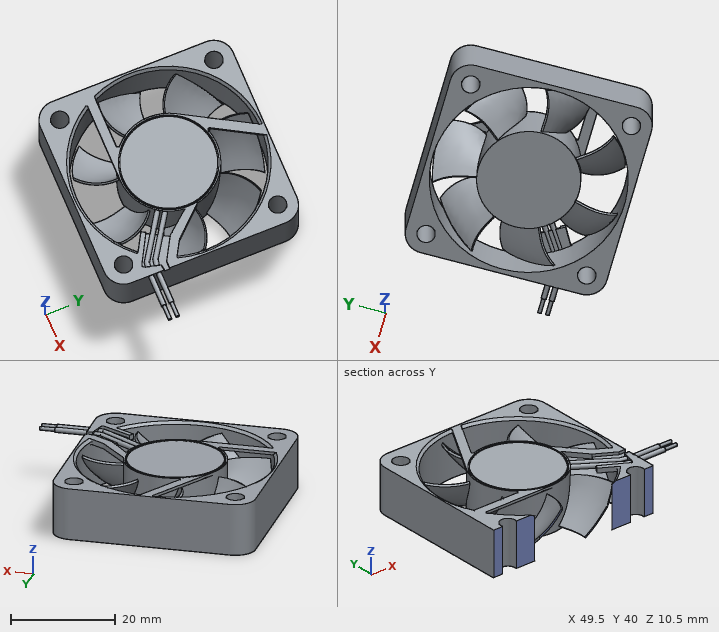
import cadquery as cq
import math

frame_side = 40.0
frame_height = 10.5
overall_length = 49.5
corner_radius = 4.0
mount_hole_offset = 16.0
mount_hole_diameter = 3.5

bore_radius = 19.05
bore_chamfer = 0.55

hub_radius = 10.0
groove_outer_radius = 9.65
groove_width = 0.25
groove_depth = 0.25

spoke_width = 2.0
spoke_thickness = 0.6
spoke_end_radius = 19.8
spoke_angles = (0, -120)
hub_corner_radius = 0.35
rim_corner_radius = 0.25

gate_angle = -30.0
gate_thickness = 1.1
arm_root_x = 7.9
arm_root_top = 3.9
arm_root_bottom = 1.7
arm_bend = (15.35, -4.15)
gate_start_along = 14.75
gate_end_along = 20.8
gate_outer_across = 4.05
gate_inner_across = -3.45
channel_outer_across = 2.25
channel_inner_across = -2.45
channel_depth = 0.65
channel_overrun = 0.5
channel_corner_radius = 0.5
exit_slot_top = -8.05
exit_slot_bottom = -9.15
channel_corner = (17.85, -13.05)
exit_slot_corner = (18.8, -9.3)

blade_count = 7
blade_axis_angle = 192.0
blade_tip_radius = 18.5
blade_offset = 0.35
blade_camber = 0.55
blade_low_z = 0.9

wire_diameter = 1.05
core_diameter = 0.75
wire_pitch = 1.6
wire_bend_pitch = 1.5
wire_mid_y = -11.15
wire_axis_depth = 0.7
core_length = 3.0
wire_angle = -33.3
wire_bend_x = 17.1
wire_bend_mid_y = -10.75
wire_run_length = 10.9
wire_exit_x = 19.55

corner_reach = 0.6
corner_clearance = 0.05

half_side = frame_side / 2
wire_z = frame_height - wire_axis_depth


def turned(point, degrees):
    """Plan point turned about the fan axis."""
    x, y = point
    angle = math.radians(degrees)
    return (x * math.cos(angle) - y * math.sin(angle), x * math.sin(angle) + y * math.cos(angle))


def gate_point(along, across):
    """Plan position of a point given along and across the gate direction."""
    return turned((along, across), gate_angle)


def near(point):
    """Selector for the upright edges around a plan point, near the top face."""
    x, y = point
    lower = (x - corner_reach, y - corner_reach, frame_height - gate_thickness)
    upper = (x + corner_reach, y + corner_reach, frame_height - corner_clearance)
    return cq.selectors.BoxSelector(lower, upper)


def turn_about_axis(body, degrees):
    return body.rotate((0, 0, 0), (0, 0, 1), degrees)


def plate(points, thickness):
    """Flat plate hanging down from the top face of the frame."""
    return cq.Workplane("XY").workplane(offset=frame_height).polyline(points).close().extrude(-thickness)


def cylinder(radius, height):
    return cq.Workplane("XY").circle(radius).extrude(height)


def rod(start, end, diameter):
    """Round bar between two points."""
    axis = cq.Vector(*end) - cq.Vector(*start)
    return cq.Workplane(cq.Solid.makeCylinder(diameter / 2, axis.Length, cq.Vector(*start), axis))


def make_frame():
    """Square frame with rounded corners, a chamfered bore and four mounting holes."""
    frame = cq.Workplane("XY").rect(frame_side, frame_side).extrude(frame_height)
    frame = frame.edges("|Z").fillet(corner_radius)
    frame = frame.cut(cylinder(bore_radius, frame_height))
    frame = frame.faces(">Z").edges(cq.selectors.RadiusNthSelector(-1)).chamfer(bore_chamfer)
    holes = cq.Workplane("XY").rect(2 * mount_hole_offset, 2 * mount_hole_offset, forConstruction=True)
    return frame.cut(holes.vertices().circle(mount_hole_diameter / 2).extrude(frame_height))


def make_spoke(turn):
    """Straight spoke whose outer edge is tangent to the hub."""
    points = [
        (0, -hub_radius),
        (0, spoke_width - hub_radius),
        (-spoke_end_radius, spoke_width - hub_radius),
        (-spoke_end_radius, -hub_radius),
    ]
    spoke = plate(points, spoke_thickness).intersect(cylinder(spoke_end_radius, frame_height))
    return turn_about_axis(spoke, turn)


def make_gate():
    """Bent arm and the broad pad that carries the wires, reaching into the frame."""
    arm = [
        (arm_root_x, arm_root_top),
        arm_bend,
        gate_point(gate_end_along, gate_outer_across),
        gate_point(gate_end_along, gate_inner_across),
        gate_point(gate_start_along, gate_inner_across),
        gate_point(gate_start_along, channel_outer_across),
        (arm_root_x, arm_root_bottom),
    ]
    return plate(arm, gate_thickness).intersect(cylinder(spoke_end_radius, frame_height))


def round_corners(body):
    """Round the sharp window corners where the spokes and the gate meet the hub and the bore."""
    inner_edge_y = spoke_width - hub_radius
    hub_corner = (-math.sqrt(hub_radius**2 - inner_edge_y**2), inner_edge_y)
    rim_corner = (-math.sqrt(bore_radius**2 - hub_radius**2), -hub_radius)
    for angle in spoke_angles:
        body = body.edges(near(turned(hub_corner, angle))).fillet(hub_corner_radius)
        body = body.edges(near(turned(rim_corner, angle))).fillet(rim_corner_radius)
    for across in (gate_outer_across, gate_inner_across):
        along = math.sqrt(bore_radius**2 - across**2)
        body = body.edges(near(gate_point(along, across))).fillet(rim_corner_radius)
    return body


def make_channel():
    """Recess for the wires, with a narrow slot out through the side of the frame."""
    angle = math.radians(gate_angle)
    slot_bend_along = (exit_slot_top - channel_outer_across * math.cos(angle)) / math.sin(angle)
    slot_bend_x = gate_point(slot_bend_along, channel_outer_across)[0]
    points = [
        gate_point(gate_start_along - channel_overrun, channel_outer_across),
        (slot_bend_x, exit_slot_top),
        (half_side, exit_slot_top),
        (half_side, exit_slot_bottom),
        exit_slot_corner,
        channel_corner,
        gate_point(gate_start_along - channel_overrun, channel_inner_across),
    ]
    channel = plate(points, channel_depth)
    return channel.edges(near(channel_corner)).fillet(channel_corner_radius)


def make_groove():
    """Thin ring groove around the cap on top of the hub."""
    top = cq.Workplane("XY").workplane(offset=frame_height)
    ring = top.circle(groove_outer_radius).circle(groove_outer_radius - groove_width)
    return ring.extrude(-groove_depth)


def make_blade():
    """Twisted, cambered blade lofted through curved sections set out along its axis."""
    sections = [
        (8.4, -2.25, 3.0, 9.0),
        (11.9, -2.8, 4.8, 9.1),
        (15.35, -3.95, 5.05, 9.15),
        (18.8, -6.95, 3.95, 9.3),
    ]
    wires = []
    for distance, low_side, high_side, high_z in sections:
        upper_low = cq.Vector(distance, low_side, blade_low_z)
        upper_high = cq.Vector(distance, high_side - blade_offset, high_z)
        upper_mid = (upper_low + upper_high) * 0.5 + cq.Vector(0, blade_camber, -blade_camber)
        through = cq.Vector(0, blade_offset, -blade_offset)
        edges = [
            cq.Edge.makeThreePointArc(upper_low, upper_mid, upper_high),
            cq.Edge.makeLine(upper_high, upper_high + through),
            cq.Edge.makeThreePointArc(upper_high + through, upper_mid + through, upper_low + through),
            cq.Edge.makeLine(upper_low + through, upper_low),
        ]
        wires.append(cq.Wire.assembleEdges(edges))
    blade = cq.Workplane(cq.Solid.makeLoft(wires))
    blade = blade.intersect(cylinder(blade_tip_radius, frame_height))
    return turn_about_axis(blade, blade_axis_angle)


def make_wire(side):
    """Sleeved wire from the hub, bent through the frame wall and ending in a bare core."""
    angle = math.radians(wire_angle)
    bend_y = wire_bend_mid_y + side * wire_bend_pitch / 2 / math.cos(angle)
    exit_y = wire_mid_y + side * wire_pitch / 2
    bend = (wire_bend_x, bend_y, wire_z)
    start = (
        wire_bend_x - wire_run_length * math.cos(angle),
        bend_y - wire_run_length * math.sin(angle),
        wire_z,
    )
    exit_point = (wire_exit_x, exit_y, wire_z)
    core_tip = (overall_length - half_side, exit_y, wire_z)
    sleeve_tip = (overall_length - half_side - core_length, exit_y, wire_z)
    wire = rod(start, bend, wire_diameter).union(rod(bend, exit_point, wire_diameter))
    for joint in (bend, exit_point):
        wire = wire.union(cq.Workplane("XY").sphere(wire_diameter / 2).translate(joint))
    wire = wire.union(rod(exit_point, sleeve_tip, wire_diameter))
    return wire.union(rod(sleeve_tip, core_tip, core_diameter))


result = make_frame().union(cylinder(hub_radius, frame_height))
for angle in spoke_angles:
    result = result.union(make_spoke(angle))
result = round_corners(result.union(make_gate()))
result = result.cut(make_channel())
result = result.cut(make_groove())

blade = make_blade()
for index in range(blade_count):
    result = result.union(turn_about_axis(blade, index * 360 / blade_count))

for side in (-1, 1):
    result = result.union(make_wire(side))

result = result.solids()